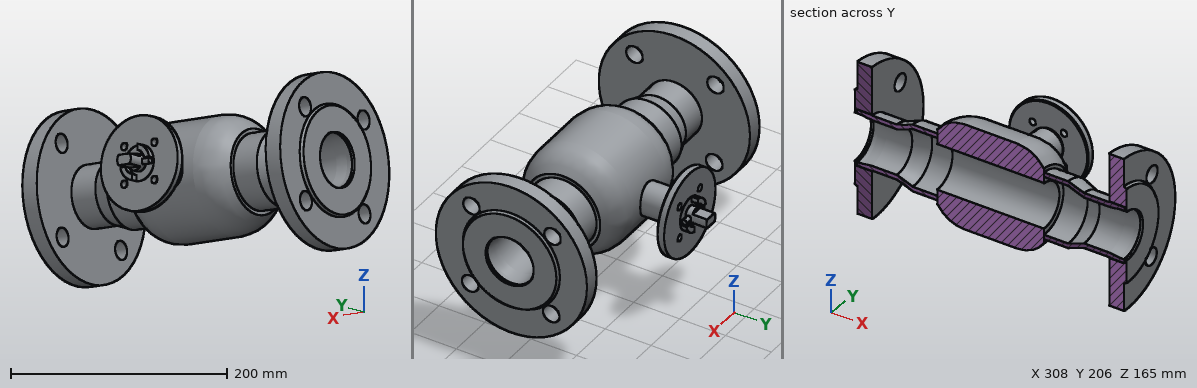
import cadquery as cq
import math

face_to_face = 308.0

flange_thickness = 20.0
flange_radius = 82.5
raised_face_height = 3.0
raised_face_radius = 51.0
raised_face_base_radius = 53.0
bolt_circle_radius = 62.5
bolt_hole_diameter = 18.0
bolt_count = 4
bolt_first_angle = 44.1

pipe_outer_radius = 30.15
pipe_bore_radius = 24.5
pipe_mouth_taper_start = 5.5
pipe_mouth_taper_length = 11.0
pipe_mouth_radius = 26.0
pipe_end_recess = 3.0
flange_mouth_radius = 26.2
branch_outer_radius = 36.5
branch_bore_radius = 31.0
cone_outer_x = 106.0
cone_inner_x = 88.0

body_radius = 57.2
body_half_length = 60.5
body_straight_half = 29.5
body_end_radius = 40.5

neck_radius = 17.3
plate_bottom_y = 92.5
neck_shoulder_gap = 1.0
collar_radius = 17.1
collar_bore_radius = 11.5
collar_top_y = 107.5

plate_radius = 45.0
plate_thickness = 8.0
plate_chamfer = 1.0
plate_bolt_circle_radius = 25.0
plate_hole_diameter = 7.0
plate_hole_count = 4
plate_first_hole_angle = 45

stem_radius = 8.0
stem_tip_y = 123.5
tang_thickness = 9.8

pin_radius = 2.8
notch_clearance = 0.3
pin_half_length = 15.5

face_x = face_to_face / 2
flange_back_x = face_x - flange_thickness
flange_front_x = face_x - raised_face_height
pipe_end_x = face_x - pipe_end_recess
taper_start_x = pipe_end_x - pipe_mouth_taper_start
taper_end_x = taper_start_x - pipe_mouth_taper_length
neck_shoulder_y = plate_bottom_y - neck_shoulder_gap
plate_top_y = plate_bottom_y + plate_thickness
pin_y = (plate_top_y + collar_top_y) / 2


def along_y(radius, start_y, end_y):
    """Solid cylinder on the stem axis between two heights."""
    plane = cq.Workplane("XZ", origin=(0, start_y, 0))
    return plane.circle(radius).extrude(start_y - end_y)


def revolve_about_x(outline):
    """Close an X-radius outline and turn it around the pipe axis."""
    return outline.close().revolve(360, (0, 0, 0), (1, 0, 0))


def mirror_to(solid, side):
    """Keep a +X solid in place, or mirror it to the -X end when side is negative."""
    return solid if side > 0 else solid.mirror("YZ")


def make_flange(side):
    """Slip-on flange with a tapered raised face and a bolt circle."""
    flange = revolve_about_x(
        cq.Workplane("XY")
        .moveTo(flange_back_x, pipe_outer_radius)
        .lineTo(flange_back_x, flange_radius)
        .lineTo(flange_front_x, flange_radius)
        .lineTo(flange_front_x, raised_face_base_radius)
        .lineTo(face_x, raised_face_radius)
        .lineTo(face_x, flange_mouth_radius)
        .lineTo(pipe_end_x, flange_mouth_radius)
        .lineTo(pipe_end_x, pipe_outer_radius)
    )
    bolt_holes = (
        cq.Workplane("YZ", origin=(flange_back_x, 0, 0))
        .polarArray(bolt_circle_radius, bolt_first_angle, 360, bolt_count)
        .circle(bolt_hole_diameter / 2)
        .extrude(flange_thickness)
    )
    return mirror_to(flange.cut(bolt_holes), side)


def make_reducer(side):
    """Pipe end that widens through a cone to the branch butting on the barrel."""
    reducer = revolve_about_x(
        cq.Workplane("XY")
        .moveTo(taper_end_x, pipe_bore_radius)
        .lineTo(taper_start_x, pipe_mouth_radius)
        .lineTo(pipe_end_x, pipe_mouth_radius)
        .lineTo(pipe_end_x, pipe_outer_radius)
        .lineTo(cone_outer_x, pipe_outer_radius)
        .lineTo(cone_inner_x, branch_outer_radius)
        .lineTo(body_half_length, branch_outer_radius)
        .lineTo(body_half_length, branch_bore_radius)
        .lineTo(cone_inner_x, branch_bore_radius)
        .lineTo(cone_outer_x, pipe_bore_radius)
    )
    return mirror_to(reducer, side)


def make_body():
    """Barrel whose rounded shoulders are arcs tangent to the straight middle."""
    run = body_half_length - body_straight_half
    drop = body_radius - body_end_radius
    shoulder_radius = (run ** 2 + drop ** 2) / (2 * drop)
    half_angle = math.asin(run / shoulder_radius) / 2
    mid_x = body_straight_half + shoulder_radius * math.sin(half_angle)
    mid_r = body_radius - shoulder_radius * (1 - math.cos(half_angle))
    return revolve_about_x(
        cq.Workplane("XY")
        .moveTo(-body_half_length, pipe_bore_radius)
        .lineTo(-body_half_length, body_end_radius)
        .threePointArc((-mid_x, mid_r), (-body_straight_half, body_radius))
        .lineTo(body_straight_half, body_radius)
        .threePointArc((mid_x, mid_r), (body_half_length, body_end_radius))
        .lineTo(body_half_length, pipe_bore_radius)
    )


def make_pin():
    """Stop pin through the stem, reaching into both collar notches."""
    return (
        cq.Workplane("YZ", origin=(0, pin_y, 0))
        .circle(pin_radius)
        .extrude(pin_half_length, both=True)
    )


def make_notch(side):
    """Quarter of the collar, widened by the pin radius, that lets the pin swing."""
    wall_offset = pin_radius + notch_clearance
    reach = collar_radius + wall_offset
    height = collar_top_y - plate_top_y
    centre = side * (reach / 2 - wall_offset)
    return cq.Workplane("XY").box(reach, height, reach).translate((centre, pin_y, centre))


def make_neck():
    """Tube seated on the barrel, with a notched collar above the plate."""
    collar = along_y(collar_radius, neck_shoulder_y, collar_top_y)
    neck = along_y(neck_radius, 0, neck_shoulder_y).union(collar)
    neck = neck.cut(along_y(collar_bore_radius, plate_top_y, collar_top_y))
    for side in (-1, 1):
        neck = neck.cut(make_notch(side))
    neck = neck.cut(along_y(stem_radius, 0, collar_top_y))
    body_core = cq.Workplane("YZ").circle(body_radius).extrude(body_straight_half, both=True)
    return neck.cut(body_core)


def make_plate():
    """Round mounting plate that fits over the collar."""
    plate = along_y(plate_radius, plate_bottom_y, plate_top_y)
    plate = plate.faces("<Y").edges().chamfer(plate_chamfer)
    holes = (
        cq.Workplane("XZ", origin=(0, plate_bottom_y, 0))
        .polarArray(plate_bolt_circle_radius, plate_first_hole_angle, 360, plate_hole_count)
        .circle(plate_hole_diameter / 2)
        .extrude(-plate_thickness)
    )
    return plate.cut(holes).cut(along_y(collar_radius, plate_bottom_y, plate_top_y))


def make_stem(pin):
    """Round stem with two flats on the tang that stands above the collar."""
    stem = along_y(stem_radius, body_radius, collar_top_y)
    tang_length = stem_tip_y - collar_top_y
    tang_slab = (
        cq.Workplane("XY")
        .box(2 * stem_radius, tang_length, tang_thickness)
        .translate((0, collar_top_y + tang_length / 2, 0))
    )
    tang = along_y(stem_radius, collar_top_y, stem_tip_y).intersect(tang_slab)
    return stem.union(tang).cut(pin)


body = make_body()
pin = make_pin()
neck = make_neck()
plate = make_plate()
stem = make_stem(pin)
flanges = [make_flange(side) for side in (-1, 1)]
reducers = [make_reducer(side) for side in (-1, 1)]

result = cq.Compound.makeCompound(
    [part.val() for part in (body, neck, plate, stem, pin, *flanges, *reducers)]
)